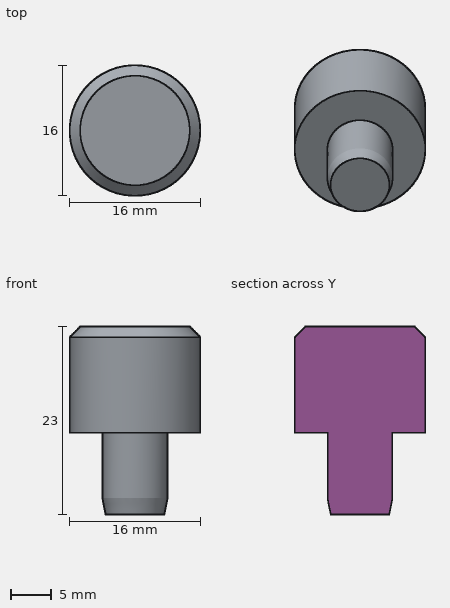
import cadquery as cq

head_diameter = 16.0
head_height = 13.0
head_chamfer = 1.3

shank_diameter = 8.0
shank_length = 10.0
tip_length = 2.0
tip_diameter = 7.2


def make_head():
    """Cylinder standing on the shoulder plane, chamfered around its top edge."""
    head = cq.Workplane("XY").circle(head_diameter / 2).extrude(head_height)
    return head.faces(">Z").edges().chamfer(head_chamfer)


def make_shank():
    """Revolved shank hanging below the shoulder, narrowing at its lower end."""
    shank_radius = shank_diameter / 2
    tip_radius = tip_diameter / 2
    profile = (
        cq.Workplane("XZ")
        .moveTo(0, 0)
        .lineTo(shank_radius, 0)
        .lineTo(shank_radius, tip_length - shank_length)
        .lineTo(tip_radius, -shank_length)
        .lineTo(0, -shank_length)
        .close()
    )
    return profile.revolve(360, (0, 0), (0, 1))


result = make_head().union(make_shank())